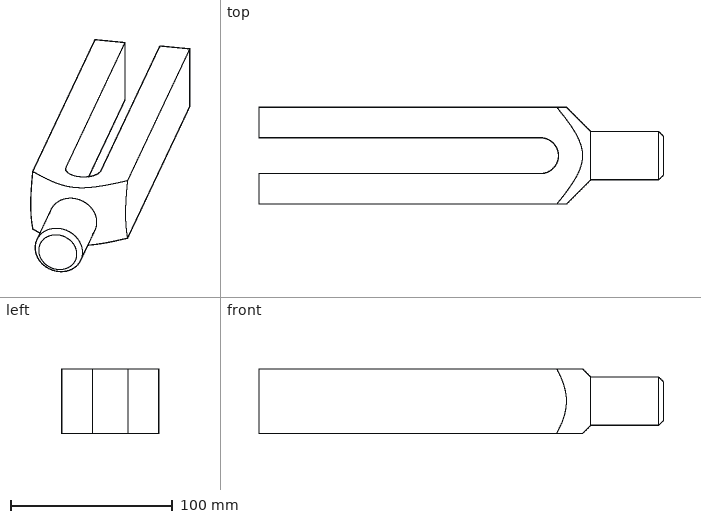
import cadquery as cq
import math

fork_width = 60.0
fork_height = 40.0
body_length = 205.0

slot_width = 22.0
slot_depth = 185.0

overall_length = 250.0
shank_diameter = 30.0
shank_chamfer = 3.0

shank_radius = shank_diameter / 2
body_corner_radius = math.hypot(fork_width / 2, fork_height / 2)


def fork_block():
    """Rectangular bar along X, centred on the X axis."""
    return cq.Workplane("XY").box(body_length, fork_width, fork_height, centered=(False, True, True))


def turning_envelope():
    """Cylinder around the bar, ending in a 45 degree cone that meets the shank."""
    cone_length = body_corner_radius - shank_radius
    return (
        cq.Workplane("XY")
        .lineTo(0, body_corner_radius)
        .lineTo(body_length - cone_length, body_corner_radius)
        .lineTo(body_length, shank_radius)
        .lineTo(body_length, 0)
        .close()
        .revolve(360, (0, 0, 0), (1, 0, 0))
    )


def slot_cutter():
    """Full-height slot with a semicircular inner end."""
    slot_radius = slot_width / 2
    arc_centre_x = slot_depth - slot_radius
    return (
        cq.Workplane("XY")
        .moveTo(0, -slot_radius)
        .lineTo(arc_centre_x, -slot_radius)
        .threePointArc((slot_depth, 0), (arc_centre_x, slot_radius))
        .lineTo(0, slot_radius)
        .close()
        .extrude(fork_height / 2, both=True)
    )


def shank():
    """Cylindrical shank with a chamfered free end."""
    return (
        cq.Workplane("YZ", origin=(body_length, 0, 0))
        .circle(shank_radius)
        .extrude(overall_length - body_length)
        .faces(">X")
        .chamfer(shank_chamfer)
    )


result = fork_block().intersect(turning_envelope()).cut(slot_cutter()).union(shank())